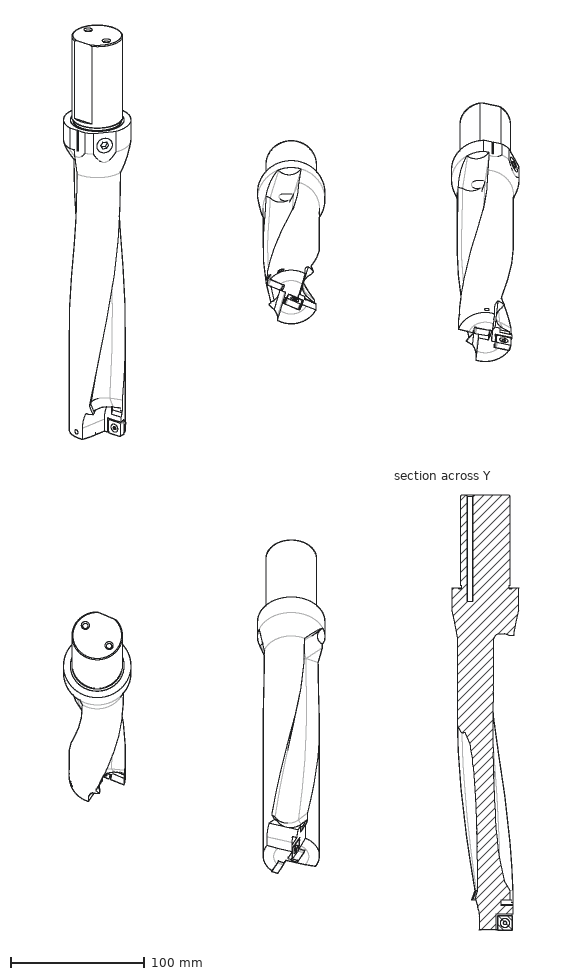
import cadquery as cq
import math


shank_radius = 19.05
shank_length = 69.85
shank_chamfer = 0.8
shank_flat_distance = 17.2
shank_flat_bottom = 5.0
relief_radius = 18.4
relief_height = 1.6
face_recess_radius = 20.2
face_recess_depth = 0.5

flange_radius = 25.4
flange_length = 17.0
cone_bottom = -38.2
flange_flat_distance = 24.4
mark_width = 0.8
mark_depth = 0.5

body_radius = 21.22
total_length = 327.5
nose_overhang = 0.75
body_end = shank_length - total_length + nose_overhang
end_bevel_height = 0.7
end_bevel_width = 8.0

flute_wall_x = -2.8
flute_floor_y = -1.3
flute_floor_start_x = -17.8
flute_arc_start_y = -11.0
flute_reach = 30.0
flute_length = 189.2
flute_lead_in = 90.0
flute_twist_rate = 0.5
flute_sections = 16
flute_ball_radius = 7.5
flute_ball_centre = (flute_wall_x - flute_ball_radius, flute_floor_y - flute_ball_radius - 1.0)
top_runout_slope = 0.76
end_runout_slope = 0.4
end_runout_height = 9.0

pocket_wall_x = 5.3
pocket_rim_x = 2.2
pocket_face_y = 1.9
pocket_straight_height = 10.0
pocket_height = 22.5
pocket_roof_radius = 30.0
ramp_x = 12.0
ramp_height = 16.0
ramp_rise = 3.0
ramp_depth = 1.5

insert_size = 11.2
insert_thickness = 4.8
insert_corner_radius = 0.8
insert_gap = 1.0
outer_insert_x = 14.8
inner_insert_x = 3.7
inner_insert_tilt = 5.0
inner_slot_depth = 3.4
inner_slot_height = 16.0
tilt_radians = math.radians(inner_insert_tilt)
corner_offset = insert_size / 2 - insert_corner_radius
corner_drop = corner_offset * (math.cos(tilt_radians) + math.sin(tilt_radians)) + insert_corner_radius
insert_height = corner_drop - nose_overhang
screw_head_radius = 3.2
screw_head_height = 2.4
screw_shank_radius = 1.7
screw_length = 12.0
screw_socket_size = 2.6
screw_socket_depth = 1.4

coolant_radius = 2.0
coolant_mouth_radius = 3.1
coolant_x = 11.4
coolant_y = -3.6
coolant_depth = 80.0
plug_angle = -39.0
plug_flat_distance = 23.9
plug_radius = 6.0
plug_z = -10.7
plug_length = 7.0
plug_socket_size = 6.0
plug_socket_depth = 4.0


def turned_body():
    """Shank, relief, flange, cone and fluted body, revolved about Z."""
    profile = [
        (0, shank_length),
        (shank_radius - shank_chamfer, shank_length),
        (shank_radius, shank_length - shank_chamfer),
        (shank_radius, relief_height),
        (relief_radius, relief_height),
        (relief_radius, -face_recess_depth),
        (face_recess_radius, -face_recess_depth),
        (face_recess_radius, 0),
        (flange_radius, 0),
        (flange_radius, -flange_length),
        (body_radius, cone_bottom),
        (body_radius, body_end + end_bevel_height),
        (body_radius - end_bevel_width, body_end),
        (0, body_end),
    ]
    return cq.Workplane("XZ").polyline(profile).close().revolve(360, (0, 0, 0), (0, 1, 0))


def outside_flat(distance, angle, bottom, top):
    """Material beyond a plane parallel to Z, at a distance from the axis in direction angle."""
    width = 2 * flange_radius
    slab = cq.Workplane("XY").box(width, width, top - bottom, centered=(False, True, False))
    return slab.translate((distance, 0, bottom)).rotate((0, 0, 0), (0, 0, 1), angle)


def flute_section(depth):
    """Flute outline at a depth below the top of the flute.

    A straight wall, an arc and a floor line, closed outside the body.
    """
    arc_width = flute_wall_x - flute_floor_start_x
    arc_rise = flute_floor_y - flute_arc_start_y
    radius = (arc_width**2 + arc_rise**2) / (2 * arc_width)
    centre_x = flute_wall_x - radius
    sweep = math.atan2(arc_rise, flute_floor_start_x - centre_x)
    arc_middle = (
        centre_x + radius * math.cos(sweep / 2),
        flute_arc_start_y + radius * math.sin(sweep / 2),
    )
    wire = (
        cq.Workplane("XY")
        .moveTo(flute_wall_x, -flute_reach)
        .lineTo(flute_wall_x, flute_arc_start_y)
        .threePointArc(arc_middle, (flute_floor_start_x, flute_floor_y))
        .lineTo(-flute_reach, flute_floor_y)
        .lineTo(-flute_reach, -flute_reach)
        .close()
        .val()
    )
    twist = -flute_twist(depth)
    placed = wire.rotate(cq.Vector(0, 0, 0), cq.Vector(0, 0, 1), twist)
    return placed.translate(cq.Vector(0, 0, cone_bottom - depth))


def flute_twist(depth):
    """Degrees turned at a depth: the rate grows over the lead-in and is constant below it."""
    if depth < flute_lead_in:
        return flute_twist_rate * depth**2 / (2 * flute_lead_in)
    return flute_twist_rate * (depth - flute_lead_in / 2)


def flute_cutters():
    """The twisted flute, its sloping runouts at both ends and a ball at the top one."""
    depths = [flute_length * i / flute_sections for i in range(flute_sections + 1)]
    channel = cq.Solid.makeLoft([flute_section(depth) for depth in depths])
    rise = -flange_length - cone_bottom
    top_runout = cq.Solid.extrudeLinear(flute_section(0), [], cq.Vector(0, -top_runout_slope * rise, rise))
    end_angle = math.radians(-90 - flute_twist(flute_length))
    end_vector = cq.Vector(
        end_runout_slope * end_runout_height * math.cos(end_angle),
        end_runout_slope * end_runout_height * math.sin(end_angle),
        -end_runout_height,
    )
    end_runout = cq.Solid.extrudeLinear(flute_section(flute_length), [], end_vector)
    ball = cq.Solid.makeSphere(flute_ball_radius, angleDegrees1=-90)
    ball = ball.translate(cq.Vector(*flute_ball_centre, cone_bottom))
    return [channel, top_runout, end_runout, ball]


def pocket_cutter():
    """Chip space in front of an insert, its wall curving outward to the roof.

    Above the insert, a ramp steps the outer part of its face back.
    """
    curve_start = body_end + pocket_straight_height
    roof = body_end + pocket_height
    curve_rise = pocket_height - pocket_straight_height
    curve_end_x = pocket_wall_x + pocket_roof_radius - math.sqrt(pocket_roof_radius**2 - curve_rise**2)
    below = body_end - nose_overhang
    outline = (
        cq.Workplane("XZ", origin=(0, pocket_face_y, 0))
        .moveTo(pocket_wall_x, below)
        .lineTo(pocket_wall_x, curve_start)
        .radiusArc((curve_end_x, roof), pocket_roof_radius)
        .lineTo(2 * flute_reach, roof)
        .lineTo(2 * flute_reach, below)
        .close()
        .val()
    )
    lean = cq.Vector(pocket_rim_x - pocket_wall_x, -body_radius - pocket_face_y, 0)
    pocket = cq.Workplane(cq.Solid.extrudeLinear(outline, [], lean))
    ramp_end_y = pocket_face_y + ramp_depth
    ramp_start_z = body_end + ramp_height
    ramp = (
        cq.Workplane("YZ", origin=(ramp_x, 0, 0))
        .moveTo(pocket_face_y, ramp_start_z)
        .lineTo(ramp_end_y, ramp_start_z + ramp_rise)
        .lineTo(ramp_end_y, roof)
        .lineTo(pocket_face_y, roof)
        .close()
        .extrude(2 * flute_reach)
    )
    return pocket.union(ramp)


def inner_insert_slot():
    """Slot in front of the inner insert, which reaches past the pocket wall to the axis."""
    start_x = inner_insert_x - insert_size / 2 - insert_gap
    height = inner_slot_height + nose_overhang
    slot = cq.Workplane("XY").box(flute_reach, inner_slot_depth, height, centered=False)
    return slot.translate((start_x, pocket_face_y - inner_slot_depth, body_end - nose_overhang))


def insert_frame(x, tilt, half_turn):
    """Puts a shape drawn about the insert centre, face toward -Y, into its place on the drill."""

    def place(shape):
        shape = shape.rotate((0, 0, 0), (0, 1, 0), tilt)
        shape = shape.translate((x, pocket_face_y, body_end + insert_height))
        return shape.rotate((0, 0, 0), (0, 0, 1), half_turn)

    return place


def cylinder_behind_face(radius, start, end):
    """Cylinder along Y between two depths behind the insert face."""
    return cq.Workplane("XZ").circle(radius).extrude(start - end).translate((0, start, 0))


def screw_blank():
    """Stepped screw envelope, without its socket."""
    head = cylinder_behind_face(screw_head_radius, 0, screw_head_height)
    shank = cylinder_behind_face(screw_shank_radius, screw_head_height, screw_length)
    return head.union(shank)


def make_screw():
    """Insert screw with a hexagonal socket in its head."""
    socket = cq.Workplane("XZ").polygon(6, screw_socket_size).extrude(-screw_socket_depth)
    return screw_blank().cut(socket)


def make_insert():
    """Square insert with rounded corners and a counterbored hole for its screw."""
    plate = cq.Workplane("XZ").rect(insert_size, insert_size).extrude(-insert_thickness)
    return plate.edges("|Y").fillet(insert_corner_radius).cut(screw_blank())


def insert_seat():
    """Recess with a gap above and beside the insert, open below, and the through screw hole."""
    recess_size = insert_size + 2 * insert_gap
    recess = cq.Workplane("XZ").rect(recess_size, recess_size).extrude(-insert_thickness)
    return recess.union(cylinder_behind_face(screw_shank_radius, 0, flute_reach))


def plug_blank():
    """Plug cylinder along X, its outer face at X = 0."""
    return cq.Workplane("YZ").circle(plug_radius).extrude(-plug_length)


def place_plug(shape):
    """Moves a shape drawn along X onto the flat for the plug."""
    shape = shape.translate((plug_flat_distance, 0, plug_z))
    return shape.rotate((0, 0, 0), (0, 0, 1), plug_angle)


drill = turned_body()
drill = drill.cut(outside_flat(shank_flat_distance, -90, shank_flat_bottom, shank_length))
drill = drill.cut(outside_flat(flange_flat_distance, -90, cone_bottom, 0))
drill = drill.cut(outside_flat(plug_flat_distance, plug_angle, cone_bottom, 0))

mark = cq.Workplane("XY").box(mark_width, 2 * mark_depth, 2 * flange_length)
drill = drill.cut(mark.translate((0, -flange_flat_distance, 0)))

for half_turn in (0, 180):
    for cutter in flute_cutters():
        drill = drill.cut(cq.Workplane(cutter).rotate((0, 0, 0), (0, 0, 1), half_turn))
    drill = drill.cut(pocket_cutter().rotate((0, 0, 0), (0, 0, 1), half_turn))

coolant = cq.Workplane("XY", origin=(0, 0, shank_length))
coolant = coolant.pushPoints([(coolant_x, coolant_y), (-coolant_x, -coolant_y)])
mouth_depth = coolant_mouth_radius - coolant_radius
drill = drill.cut(coolant.circle(coolant_radius).extrude(-coolant_depth))
drill = drill.cut(coolant.circle(coolant_mouth_radius).extrude(-mouth_depth, taper=45))
drill = drill.cut(place_plug(plug_blank()))

inserts = []
screws = []
drill = drill.cut(inner_insert_slot().rotate((0, 0, 0), (0, 0, 1), 180))
for x, tilt, half_turn in ((outer_insert_x, 0, 0), (inner_insert_x, inner_insert_tilt, 180)):
    place = insert_frame(x, tilt, half_turn)
    drill = drill.cut(place(insert_seat()))
    inserts.append(place(make_insert()).val())
    screws.append(place(make_screw()).val())

plug_socket = cq.Workplane("YZ").polygon(6, plug_socket_size).extrude(-plug_socket_depth)
plug = place_plug(plug_blank().cut(plug_socket))

result = cq.Compound.makeCompound([drill.val(), *inserts, *screws, plug.val()])